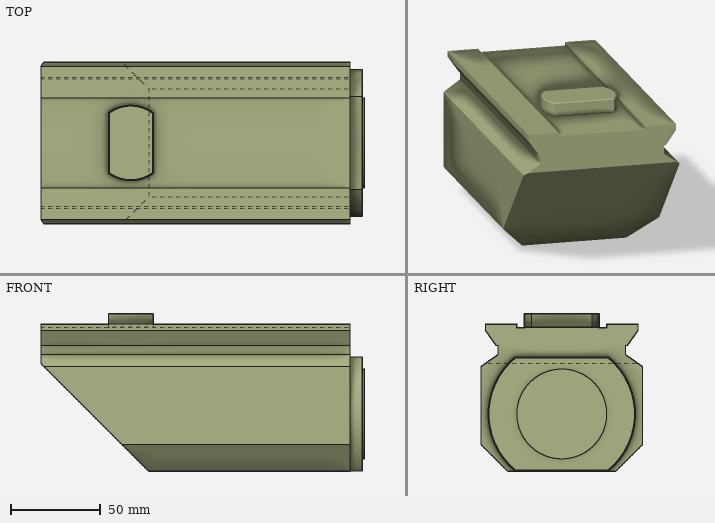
import cadquery as cq

body_length = 172.0
body_width = 90.0
body_height = 82.0
bottom_chamfer = 15.0
nose_height = 60.0

rail_width = 85.0
rail_lip_bottom = 78.5
neck_width = 71.0
neck_top = 70.0
neck_bottom = 65.0
undercut_width = 73.0
shoulder_height = 58.4

channel_width = 50.0
channel_depth = 2.0

key_x = 50.0
key_diameter = 42.0
key_width = 25.0
key_top = 88.0
key_chamfer = 0.5

cap_diameter = 82.0
cap_height = 63.5
cap_center_z = 32.0
cap_thickness = 7.0
cap_chamfer = 0.5

pad_diameter = 50.0
pad_thickness = 1.0


def make_body():
    """Extrude the dovetail section along X, then slope off the lower nose."""
    right_side = [
        (body_width / 2 - bottom_chamfer, 0),
        (body_width / 2, bottom_chamfer),
        (body_width / 2, shoulder_height),
        (neck_width / 2, neck_bottom),
        (neck_width / 2, neck_top),
        (undercut_width / 2, neck_top),
        (rail_width / 2, rail_lip_bottom),
        (rail_width / 2, body_height),
        (channel_width / 2, body_height),
        (channel_width / 2, body_height - channel_depth),
    ]
    left_side = [(-y, z) for y, z in reversed(right_side)]
    body = cq.Workplane("YZ").polyline(right_side + left_side).close().extrude(body_length)
    nose = (
        cq.Workplane("XZ")
        .polyline([(0, 0), (nose_height, 0), (0, nose_height)])
        .close()
        .extrude(body_width / 2, both=True)
    )
    return body.cut(nose)


def make_key():
    """Build the flat-sided key with small chamfers around its top and bottom."""
    floor_z = body_height - channel_depth
    key_height = key_top - floor_z
    disc = cq.Workplane("XY").circle(key_diameter / 2).extrude(key_height)
    key = disc.intersect(cq.Workplane("XY").box(key_width, key_diameter, 2 * key_height))
    return key.faces(">Z or <Z").chamfer(key_chamfer).translate((key_x, 0, floor_z))


def make_end_cap():
    """Build the flat-sided cap and the round pad on its outer face."""
    disc = cq.Workplane("YZ").circle(cap_diameter / 2).extrude(cap_thickness)
    cap = disc.intersect(cq.Workplane("XY").box(2 * cap_thickness, cap_diameter, cap_height))
    cap = cap.faces(">X").chamfer(cap_chamfer)
    pad = cq.Workplane("YZ").circle(pad_diameter / 2).extrude(cap_thickness + pad_thickness)
    return cap.union(pad).translate((body_length, 0, cap_center_z))


result = make_body().union(make_key()).union(make_end_cap())